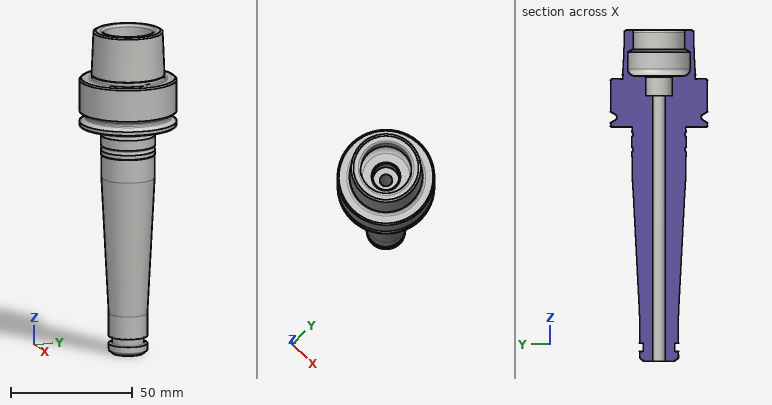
import cadquery as cq
import math

total_height = 136.0
taper_height = 20.0
flange_height = 20.0
flange_top = total_height - taper_height
flange_bottom = flange_top - flange_height

taper_top_diameter = 28.5
taper_root_diameter = 30.0
taper_root_height = 1.6
taper_root_chamfer = 0.3
rim_chamfer_height = 0.5
rim_chamfer_width = 1.0

neck_diameter = 29.8
relief_diameter = 32.4
relief_depth = 0.34
relief_fillet = 0.4

flange_diameter = 40.0
flange_top_chamfer = 0.7
flange_bottom_chamfer = 0.4
groove_diameter = 34.8
groove_upper_edge = 102.3
groove_lower_edge = 97.9
groove_flank_angle = 30.0
groove_corner_fillet = 0.5

band_diameter = 22.5
shaft_diameter = 22.0
band_chamfer_width = 0.2
band_chamfer_height = 0.34
band_groove_depth = 0.48
neck_groove_depth = 0.2
neck_groove_bottom = 94.7
upper_groove_top = 94.1
upper_groove_bottom = 92.1
lower_groove_top = 87.9
lower_groove_bottom = 85.8
bands_bottom = 83.8
cone_top = 74.3
cone_bottom = 17.0
nose_diameter = 16.0
nose_groove_diameter = 13.0
nose_groove_top = 7.3
nose_groove_bottom = 4.1
nose_groove_fillet = 0.4
nose_chamfer_height = 1.4
nose_chamfer_width = 1.6
nose_chamfer_fillet = 0.5

socket_diameter = 21.0
mouth_rounding = 1.0
clamp_groove_diameter = 25.5
clamp_groove_depth = 7.9
clamp_flank_angle = 30.0
socket_depth = 18.9
socket_floor_fillet = 3.0
floor_bore_diameter = 10.9
floor_bore_chamfer = 0.5
floor_bore_depth = 8.2
through_hole_diameter = 5.0


def revolve_outline(points):
    """Revolve (diameter, height) points, closed along the Z axis."""
    outline = [(diameter / 2, height) for diameter, height in points]
    return cq.Workplane("XZ").polyline(outline).close().revolve(360, (0, 0, 0), (0, 1, 0))


def flank_height(outer_diameter, inner_diameter, angle):
    """Axial length of a conical flank between two diameters."""
    return (outer_diameter - inner_diameter) / 2 * math.tan(math.radians(angle))


def fillet_rings(solid, heights, radius):
    """Round the circular edges centred on the axis within a pair of heights."""
    bottom, top = heights
    reach = 0.01
    box = cq.selectors.BoxSelector((-reach, -reach, bottom - reach), (reach, reach, top + reach))
    return solid.edges(box).fillet(radius)


def make_stem():
    nose_groove_ends = (nose_groove_bottom, nose_groove_top)
    stem = revolve_outline([
        (0, 0),
        (nose_diameter - 2 * nose_chamfer_width, 0),
        (nose_diameter, nose_chamfer_height),
        (nose_diameter, nose_groove_bottom),
        *[(nose_groove_diameter, height) for height in nose_groove_ends],
        (nose_diameter, nose_groove_top),
        (nose_diameter, cone_bottom),
        (shaft_diameter, cone_top),
        (shaft_diameter, bands_bottom),
        (band_diameter, bands_bottom + band_chamfer_height),
        (band_diameter, flange_bottom),
        (0, flange_bottom),
    ])
    stem = fillet_rings(stem, (nose_chamfer_height, nose_chamfer_height), nose_chamfer_fillet)
    stem = round_nose_groove(stem)
    band_grooves = [
        (lower_groove_bottom, lower_groove_top),
        (upper_groove_bottom, upper_groove_top),
    ]
    for bottom, top in band_grooves:
        stem = stem.cut(make_band_groove(bottom, top))
    return stem.cut(make_neck_groove())


def round_nose_groove(stem):
    """Round the two inner corners of the nose groove, found by their radius."""
    rings = [
        edge
        for edge in stem.edges("%CIRCLE").vals()
        if math.isclose(edge.radius(), nose_groove_diameter / 2)
    ]
    return stem.newObject(rings).fillet(nose_groove_fillet)


def make_band_groove(bottom, top):
    """Ring that cuts a groove with a round bottom and chamfered edges into the band."""
    radius = band_diameter / 2
    arc_end = radius - band_chamfer_width
    return (
        cq.Workplane("XZ")
        .moveTo(radius, bottom)
        .lineTo(arc_end, bottom + band_chamfer_height)
        .threePointArc(
            (radius - band_groove_depth, (bottom + top) / 2),
            (arc_end, top - band_chamfer_height),
        )
        .lineTo(radius, top)
        .close()
        .revolve(360, (0, 0, 0), (0, 1, 0))
    )


def make_neck_groove():
    """Ring that cuts a shallow round groove right under the flange."""
    radius = band_diameter / 2
    middle = (neck_groove_bottom + flange_bottom) / 2
    return (
        cq.Workplane("XZ")
        .moveTo(radius, neck_groove_bottom)
        .threePointArc((radius - neck_groove_depth, middle), (radius, flange_bottom))
        .close()
        .revolve(360, (0, 0, 0), (0, 1, 0))
    )


def make_head():
    flank = flank_height(flange_diameter, groove_diameter, groove_flank_angle)
    groove_floor = (groove_lower_edge + flank, groove_upper_edge - flank)
    relief_floor = flange_top - relief_depth
    taper_root = flange_top + taper_root_height
    flange = [
        (0, flange_bottom),
        (flange_diameter - 2 * flange_bottom_chamfer, flange_bottom),
        (flange_diameter, flange_bottom + flange_bottom_chamfer),
        (flange_diameter, groove_lower_edge),
        *[(groove_diameter, height) for height in groove_floor],
        (flange_diameter, groove_upper_edge),
        (flange_diameter, flange_top - flange_top_chamfer),
        (flange_diameter - 2 * flange_top_chamfer, flange_top),
    ]
    taper = [
        (relief_diameter, flange_top),
        (neck_diameter, relief_floor),
        (neck_diameter, taper_root - taper_root_chamfer),
        (taper_root_diameter, taper_root),
        (taper_top_diameter, total_height - rim_chamfer_height),
        (taper_top_diameter - 2 * rim_chamfer_width, total_height),
        (0, total_height),
    ]
    head = fillet_rings(revolve_outline(flange + taper), groove_floor, groove_corner_fillet)
    return fillet_rings(head, (relief_floor, relief_floor), relief_fillet)


def make_socket():
    flank = flank_height(clamp_groove_diameter, socket_diameter, clamp_flank_angle)
    groove_start = total_height - clamp_groove_depth
    floor = total_height - socket_depth
    chamber = revolve_outline([
        (0, total_height),
        (socket_diameter, total_height),
        (socket_diameter, groove_start),
        (clamp_groove_diameter, groove_start - flank),
        (clamp_groove_diameter, floor),
        (0, floor),
    ])
    chamber = fillet_rings(chamber, (floor, floor), socket_floor_fillet)
    floor_bore = revolve_outline([
        (0, floor),
        (floor_bore_diameter + 2 * floor_bore_chamfer, floor),
        (floor_bore_diameter, floor - floor_bore_chamfer),
        (floor_bore_diameter, floor - floor_bore_depth),
        (0, floor - floor_bore_depth),
    ])
    return chamber.union(floor_bore)


def round_mouth(body):
    """Round the inner edge of the socket mouth."""
    return body.faces(">Z").edges(cq.selectors.RadiusNthSelector(0)).fillet(mouth_rounding)


def make_through_hole():
    return cq.Workplane("XY").circle(through_hole_diameter / 2).extrude(total_height)


holder = make_stem().union(make_head()).cut(make_socket()).cut(make_through_hole())
result = round_mouth(holder)